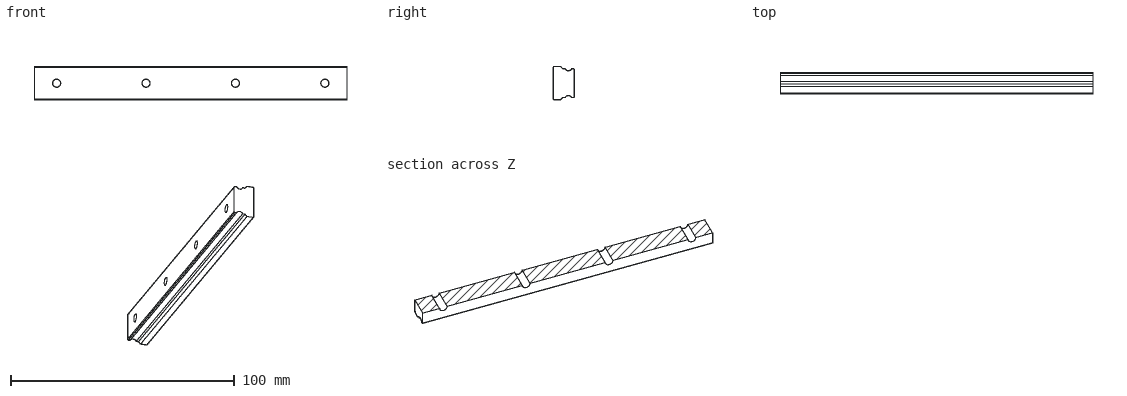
import cadquery as cq

LENGTH = 140.0
HEIGHT = 9.5
WIDTH = 15.0
EDGE_CHAMFER = 0.4

HOLE_DIAMETER = 3.5
HOLE_PITCH = 40.0
HOLE_COUNT = 4

BASE_FLANK_HEIGHT = 3.3
SHOULDER_START_HEIGHT = 4.3
SHOULDER_END_HEIGHT = 5.4
HEAD_FLANK_HEIGHT = 8.3
GROOVE_BOTTOM_HEIGHT = 6.75

BASE_HALF_WIDTH = WIDTH / 2
HEAD_HALF_WIDTH = 6.5
GROOVE_HALF_WIDTH = 5.6

GROOVE_ARC_BOW = 0.26


def half_rail():
    """The half of the rail above its mid-plane, extruded along X."""
    base_flank_end = (BASE_FLANK_HEIGHT, BASE_HALF_WIDTH)
    shoulder_start = (SHOULDER_START_HEIGHT, HEAD_HALF_WIDTH)
    shoulder_end = (SHOULDER_END_HEIGHT, HEAD_HALF_WIDTH)
    groove_bottom = (GROOVE_BOTTOM_HEIGHT, GROOVE_HALF_WIDTH)
    head_flank_start = (HEAD_FLANK_HEIGHT, HEAD_HALF_WIDTH)
    return (
        cq.Workplane("YZ", origin=(-LENGTH / 2, 0, 0))
        .moveTo(0, 0)
        .lineTo(0, BASE_HALF_WIDTH - EDGE_CHAMFER)
        .lineTo(EDGE_CHAMFER, BASE_HALF_WIDTH)
        .lineTo(*base_flank_end)
        .lineTo(*shoulder_start)
        .lineTo(*shoulder_end)
        .sagittaArc(groove_bottom, -GROOVE_ARC_BOW)
        .sagittaArc(head_flank_start, -GROOVE_ARC_BOW)
        .lineTo(HEIGHT - EDGE_CHAMFER, HEAD_HALF_WIDTH)
        .lineTo(HEIGHT, HEAD_HALF_WIDTH - EDGE_CHAMFER)
        .lineTo(HEIGHT, 0)
        .close()
        .extrude(LENGTH)
    )


def mounting_holes():
    """A row of plain cylinders through the full height, centred on the rail's length."""
    return (
        cq.Workplane("XZ")
        .rarray(HOLE_PITCH, 1, HOLE_COUNT, 1)
        .circle(HOLE_DIAMETER / 2)
        .extrude(-HEIGHT)
    )


upper_half = half_rail()
rail = upper_half.union(upper_half.mirror("XY"))
result = rail.cut(mounting_holes())